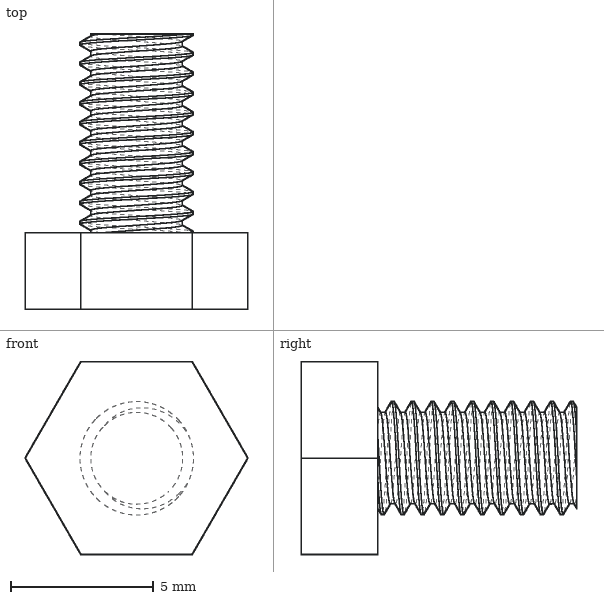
import cadquery as cq
import math

head_across_corners = 7.85
head_thickness = 2.7

total_length = 9.7
shank_length = total_length - head_thickness
turn_count = 10
pitch = shank_length / turn_count
major_radius = 4.0 / 2

flank_slope = math.tan(math.radians(30))
crest_width = pitch / 8
root_width = pitch / 4
thread_depth = (pitch - crest_width - root_width) / (2 * flank_slope)
minor_radius = major_radius - thread_depth
root_overlap = 0.05


def make_head():
    return (
        cq.Workplane("XZ")
        .polygon(6, head_across_corners)
        .extrude(head_thickness)
    )


def make_thread_ridge():
    """Right-handed ridge along Z, one turn too long at each end."""
    start = -pitch
    helix_height = shank_length + 2 * pitch
    helix = cq.Wire.makeHelix(pitch, helix_height, minor_radius, cq.Vector(0, 0, start))
    base_radius = minor_radius - root_overlap
    crest_half = crest_width / 2
    base_half = crest_half + (thread_depth + root_overlap) * flank_slope
    profile = cq.Workplane("XZ").polyline([
        (base_radius, start - base_half),
        (major_radius, start - crest_half),
        (major_radius, start + crest_half),
        (base_radius, start + base_half),
    ]).close()
    return profile.sweep(cq.Workplane(obj=helix), isFrenet=True)


def make_shank():
    core = cq.Workplane("XY").circle(minor_radius).extrude(shank_length)
    envelope = cq.Workplane("XY").circle(2 * major_radius).extrude(shank_length)
    ridge = make_thread_ridge().intersect(envelope)
    return core.union(ridge).rotate((0, 0, 0), (1, 0, 0), -90)


result = make_head().union(make_shank())